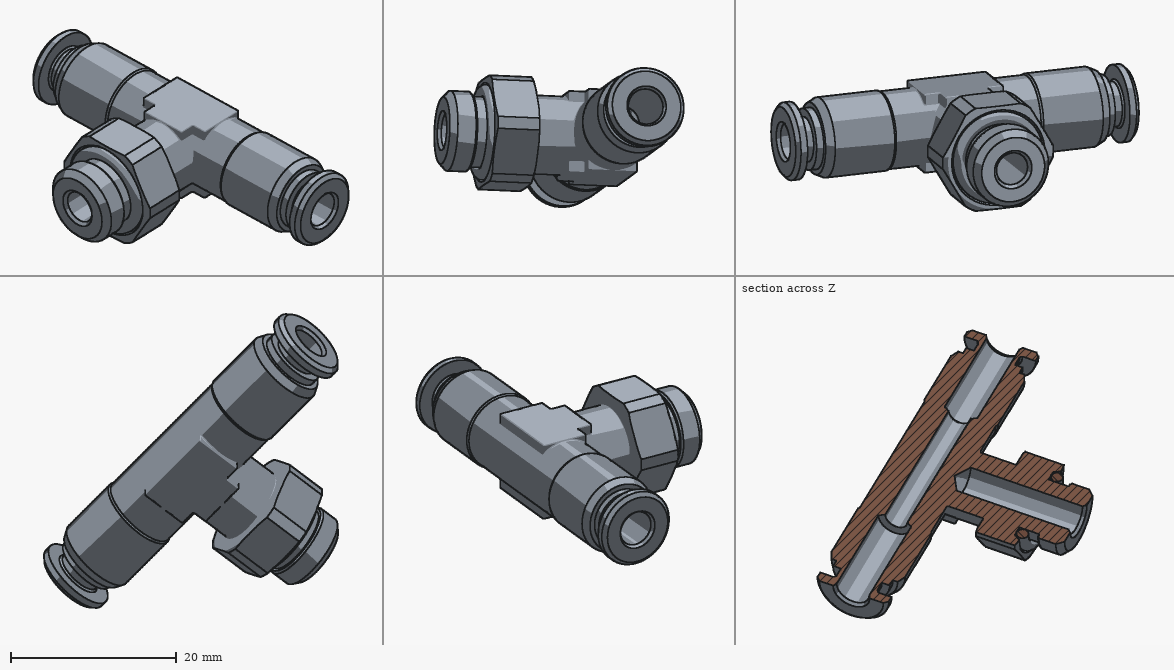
import cadquery as cq
import math


RUN_HALF_LENGTH = 22.1
COLLAR_RADIUS = 4.75
COLLAR_WIDTH = 1.35
COLLAR_CHAMFER = 0.5
NECK_RADIUS = 2.75
NECK_LENGTH = 1.52
NECK_ROOT_CHAMFER = 0.25
STEP_RADIUS = 3.77
STEP_LENGTH = 0.93
SLEEVE_RADIUS = 4.9
SLEEVE_TIP_RADIUS = 4.4
SLEEVE_TAPER_LENGTH = 1.05
SLEEVE_INNER_END = 9.58
TUBE_RADIUS = 4.75
TUBE_CONE_LENGTH = 0.27
TUBE_CORNER_FILLET = 0.2

collar_inner_face = RUN_HALF_LENGTH - COLLAR_WIDTH
neck_end = collar_inner_face - NECK_LENGTH
tube_end = SLEEVE_INNER_END - TUBE_CONE_LENGTH
sleeve_tip = neck_end - STEP_LENGTH

DRILL_POINT_ANGLE = 118
PORT_RADIUS = 2.15
PORT_MOUTH_RADIUS = 2.43
PORT_MOUTH_DEPTH = 0.45
THROUGH_RADIUS = 1.45
STUD_BORE_RADIUS = 2.0
STUD_BORE_CHAMFER = 0.4
port_end = SLEEVE_INNER_END
stud_bore_end = TUBE_RADIUS
drill_slope = math.tan(math.radians(DRILL_POINT_ANGLE / 2))

STUD_END = 20.0
HEX_BACK = 9.5
HEX_FRONT = 14.9
HEX_ACROSS_FLATS = 13.0
HEX_CORNER_RADIUS = 7.12
HEX_BACK_FACE_RADIUS = 6.65
HEX_FRONT_FACE_RADIUS = 6.47
HEX_EDGE_DEPTH = 0.12
STEM_ROOT_FILLET = 0.1
THREAD_RADIUS = 4.85
THREAD_START = 16.7
THREAD_START_CHAMFER = 0.25
THREAD_END_CHAMFER = 0.8
GROOVE_RADIUS = 4.25

RING_SECTION_RADIUS = 0.75
RING_PROTRUSION = 0.7
SEAT_MOUTH_RADIUS = 6.0
SEAT_WALL_ANGLE = 30
ring_center_radius = GROOVE_RADIUS + RING_SECTION_RADIUS
seat_floor = HEX_FRONT + RING_PROTRUSION - 2 * RING_SECTION_RADIUS
seat_narrowing = (HEX_FRONT - seat_floor) * math.tan(math.radians(SEAT_WALL_ANGLE))

PAD_HEIGHT = 5.0
PAD_BAR_HALF_WIDTH = 5.1
PAD_BAR_BACK = 3.0
PAD_BAR_FRONT = -3.05
PAD_LEG_HALF_WIDTH = 3.1
PAD_LEG_FRONT = -5.03
PAD_EDGE_FILLET = 0.2
PAD_CORNER_FILLET = 0.2
PAD_ROOT_FILLET = 0.2
PAD_ROOT_BAND_BOTTOM = 3.4

TOLERANCE = 0.001


def revolve_about_x(points):
    """Solid of revolution from (x, radius) points."""
    return cq.Workplane("XY").polyline(points).close().revolve(360, (0, 0), (1, 0))


def revolve_about_stud(stations):
    """Solid of revolution about Y from (distance toward -Y, radius) points."""
    points = [(radius, -distance) for distance, radius in stations]
    return cq.Workplane("XY").polyline(points).close().revolve(360, (0, 0), (0, 1))


def make_half_run():
    """Sleeve, step, neck and collar at the +X end of the run."""
    return revolve_about_x([
        (tube_end, 0),
        (tube_end, TUBE_RADIUS),
        (SLEEVE_INNER_END, SLEEVE_RADIUS),
        (sleeve_tip - SLEEVE_TAPER_LENGTH, SLEEVE_RADIUS),
        (sleeve_tip, SLEEVE_TIP_RADIUS),
        (sleeve_tip, STEP_RADIUS),
        (neck_end, STEP_RADIUS),
        (neck_end, NECK_RADIUS),
        (collar_inner_face - NECK_ROOT_CHAMFER, NECK_RADIUS),
        (collar_inner_face, NECK_RADIUS + NECK_ROOT_CHAMFER),
        (collar_inner_face, COLLAR_RADIUS),
        (RUN_HALF_LENGTH - COLLAR_CHAMFER, COLLAR_RADIUS),
        (RUN_HALF_LENGTH, COLLAR_RADIUS - COLLAR_CHAMFER),
        (RUN_HALF_LENGTH, 0),
    ])


def make_half_run_bore():
    """Tube port at the +X end, narrowing through a drill-point cone to the through bore."""
    cone_length = (PORT_RADIUS - THROUGH_RADIUS) / drill_slope
    return revolve_about_x([
        (0, 0),
        (0, THROUGH_RADIUS),
        (port_end - cone_length, THROUGH_RADIUS),
        (port_end, PORT_RADIUS),
        (RUN_HALF_LENGTH - PORT_MOUTH_DEPTH, PORT_RADIUS),
        (RUN_HALF_LENGTH, PORT_MOUTH_RADIUS),
        (RUN_HALF_LENGTH, 0),
    ])


def make_hexagon():
    """Hexagon with flats facing Z, its corners turned down and its end edges bevelled."""
    across_corners = HEX_ACROSS_FLATS / math.cos(math.pi / 6)
    prism = (
        cq.Workplane("XZ", origin=(0, -HEX_BACK, 0))
        .polygon(6, across_corners)
        .extrude(HEX_FRONT - HEX_BACK)
    )
    turned_envelope = revolve_about_stud([
        (HEX_BACK, 0),
        (HEX_BACK, HEX_BACK_FACE_RADIUS),
        (HEX_BACK + HEX_EDGE_DEPTH, HEX_CORNER_RADIUS),
        (HEX_FRONT - HEX_EDGE_DEPTH, HEX_CORNER_RADIUS),
        (HEX_FRONT, HEX_FRONT_FACE_RADIUS),
        (HEX_FRONT, 0),
    ])
    return prism.intersect(turned_envelope)


def make_threaded_end():
    """Groove and plain thread envelope in front of the O-ring seat."""
    return revolve_about_stud([
        (seat_floor, 0),
        (seat_floor, GROOVE_RADIUS),
        (THREAD_START, GROOVE_RADIUS),
        (THREAD_START, THREAD_RADIUS - THREAD_START_CHAMFER),
        (THREAD_START + THREAD_START_CHAMFER, THREAD_RADIUS),
        (STUD_END - THREAD_END_CHAMFER, THREAD_RADIUS),
        (STUD_END, THREAD_RADIUS - THREAD_END_CHAMFER),
        (STUD_END, 0),
    ])


def make_ring_seat():
    """Ring-shaped recess whose outer wall tapers inward to its floor."""
    return revolve_about_stud([
        (seat_floor, GROOVE_RADIUS),
        (seat_floor, SEAT_MOUTH_RADIUS - seat_narrowing),
        (HEX_FRONT, SEAT_MOUTH_RADIUS),
        (HEX_FRONT, GROOVE_RADIUS),
    ])


def make_stud_bore():
    """Blind drilled hole with a chamfered mouth."""
    return revolve_about_stud([
        (stud_bore_end - STUD_BORE_RADIUS / drill_slope, 0),
        (stud_bore_end, STUD_BORE_RADIUS),
        (STUD_END - STUD_BORE_CHAMFER, STUD_BORE_RADIUS),
        (STUD_END, STUD_BORE_RADIUS + STUD_BORE_CHAMFER),
        (STUD_END, 0),
    ])


def make_pads():
    """T-shaped block through the tee; its two ends are the raised pads."""
    outline = [
        (-PAD_BAR_HALF_WIDTH, PAD_BAR_BACK),
        (PAD_BAR_HALF_WIDTH, PAD_BAR_BACK),
        (PAD_BAR_HALF_WIDTH, PAD_BAR_FRONT),
        (PAD_LEG_HALF_WIDTH, PAD_BAR_FRONT),
        (PAD_LEG_HALF_WIDTH, PAD_LEG_FRONT),
        (-PAD_LEG_HALF_WIDTH, PAD_LEG_FRONT),
        (-PAD_LEG_HALF_WIDTH, PAD_BAR_FRONT),
        (-PAD_BAR_HALF_WIDTH, PAD_BAR_FRONT),
    ]
    block = cq.Workplane("XY").polyline(outline).close().extrude(PAD_HEIGHT, both=True)
    block = block.edges("|Z").fillet(PAD_CORNER_FILLET)
    return block.faces("<Z or >Z").edges().fillet(PAD_EDGE_FILLET)


def make_joined_tubes():
    """Plain run tube and stem, with a fillet in the corner where they meet."""
    tube = cq.Workplane("YZ", origin=(-tube_end, 0, 0)).circle(TUBE_RADIUS).extrude(2 * tube_end)
    stem = cq.Workplane("XZ").circle(TUBE_RADIUS).extrude(HEX_BACK)
    tubes = tube.union(stem)
    corner_edges = [edge for edge in tubes.edges().vals() if edge.geomType() == "ELLIPSE"]
    return tubes.newObject(corner_edges).fillet(TUBE_CORNER_FILLET)


def is_pad_root(edge):
    """True for an edge in the height band where the pad sides run into the tubes."""
    center = edge.Center()
    in_band = PAD_ROOT_BAND_BOTTOM < abs(center.z) < TUBE_RADIUS
    return in_band and abs(center.x) < PAD_BAR_HALF_WIDTH + PAD_ROOT_FILLET


def make_tee():
    """Joined tubes with both pads raised on them and a small fillet around each pad's root."""
    tee = make_joined_tubes().union(make_pads())
    root_edges = [edge for edge in tee.edges("not |Z").vals() if is_pad_root(edge)]
    return tee.newObject(root_edges).fillet(PAD_ROOT_FILLET)


def is_stem_root(edge):
    """True for the circle where the stem meets the back face of the hexagon."""
    on_hex_back = math.isclose(edge.Center().y, -HEX_BACK, abs_tol=TOLERANCE)
    return on_hex_back and edge.geomType() == "CIRCLE" and edge.radius() < TUBE_RADIUS + TOLERANCE


def make_fitting():
    """Complete fitting body as one solid."""
    stud = make_hexagon().cut(make_ring_seat()).union(make_threaded_end())
    body = make_tee().union(stud)
    stem_root = [edge for edge in body.edges().vals() if is_stem_root(edge)]
    body = body.newObject(stem_root).fillet(STEM_ROOT_FILLET)
    half_run = make_half_run()
    body = body.union(half_run).union(half_run.mirror("YZ"))
    half_bore = make_half_run_bore()
    return body.cut(half_bore).cut(half_bore.mirror("YZ")).cut(make_stud_bore()).solids()


def make_o_ring():
    """Ring resting on the seat floor and hugging the thread groove."""
    center_distance = seat_floor + RING_SECTION_RADIUS
    ring = cq.Solid.makeTorus(
        ring_center_radius,
        RING_SECTION_RADIUS,
        cq.Vector(0, -center_distance, 0),
        cq.Vector(0, 1, 0),
    )
    return cq.Workplane(obj=ring)


fitting = make_fitting()
o_ring = make_o_ring()
result = cq.Compound.makeCompound([fitting.val(), o_ring.val()])